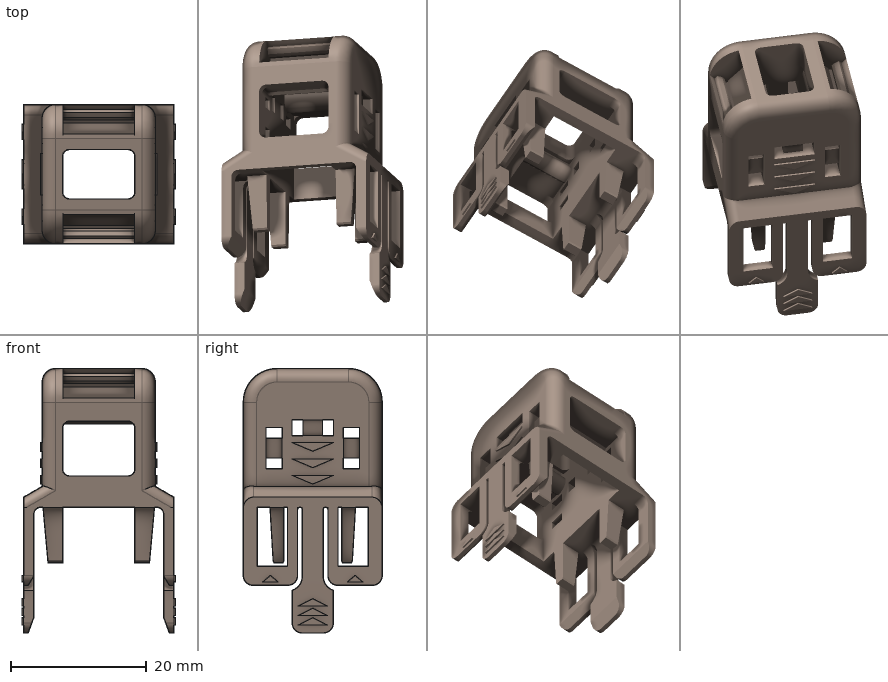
import cadquery as cq
import math

HEIGHT = 39.0
BODY_HALF_X = 8.35
BODY_HALF_Y = 10.25
TOP_RADIUS = 5.0
SIDE_FILLET = 2.0
WALL = 1.52
BOTTOM_Z = 18.52

LEG_OUTER_X = 11.08
LEG_INNER_X = LEG_OUTER_X - WALL
LEG_END_Z = 7.02
LEG_CORNER = 1.5
SHOULDER_ANGLE = math.radians(30)
SHOULDER_TOP_Z = 21.6
SHOULDER_FILLET = 1.52
INNER_FILLET = 1.0
LEG_WINDOW_Y = (3.75, 8.15)
LEG_WINDOW_Z = (9.85, BOTTOM_Z)
TIP_THICKNESS = 0.65
LEG_BEVEL_HEIGHT = 1.4

TONGUE_HALF_Y = 1.55
TONGUE_HEAD_HALF_Y = 3.05
TONGUE_GAP = 0.65
SLOT_TOP_RADIUS = 0.3
TONGUE_BEND_RADIUS = 2.15
TONGUE_BEND_Z = 8.35
TONGUE_BEVEL_HEIGHT = 2.3

CAVITY_HALF_X = 5.3
CAVITY_TOP_Z = 31.2
WINDOW_BOTTOM_Z = 23.15
TOP_WINDOW_HALF_Y = 3.63
WINDOW_CORNER = 1.0

SLOT_LENGTH = 6.05
SLOT_WIDTH = 2.35
BRIDGE_LENGTH = 2.92
BRIDGE_RECESS = 1.0
TOP_SLOT_Z = 30.25
END_SLOT_Y = 5.7
END_SLOT_Z = 27.25

PRONG_END_Z = 10.35
PRONG_TOP_X = 8.23
PRONG_END_X = 7.5
PRONG_INNER_Y = 4.25
PRONG_TOP_Y = 6.3
PRONG_END_Y = 5.85
PRONG_BEVEL_WIDTH = 0.15
PRONG_BEVEL_HEIGHT = 0.27

POCKET_HALF = 3.05
POCKET_DEPTH = 1.0
POCKET_CLEARANCE = 1.95
LIP_HALF = 2.45
THROAT_HALF = 2.2
TAPER_END_DEPTH = 1.75
THROAT_DEPTH = 2.25
BAR_FACE_DEPTH = 2.95
BAR_HALF = 2.22
CHORD_MIDDLE_Y = 8.07
CHORD_MIDDLE_Z = 36.8

GAP_INNER_Y = 4.15
GAP_SILL_Z = 32.88
LINTEL_INNER_Y = 5.77
GAP_MOUTH_Z = 34.5
LEDGE_Z = 33.5
LEDGE_BACK_Y = 4.9
NOSE_RADIUS = 1.75
NOSE_Y = 5.4
NOSE_Z = 32.55

ARROW_HEIGHT = 0.255
ARROWS_PER_COLUMN = 3
BODY_ARROWS = dict(half_width=3.05, rise=-1.3, first_z=28.08, pitch=-2.4)
TONGUE_ARROWS = dict(half_width=2.15, rise=1.1, first_z=3.98, pitch=-1.4)
LEG_ARROW = dict(half_width=1.15, rise=0.98, base_z=7.53, y=6.25)

SIDES = (-1, 1)

EDGE_MARGIN = 0.4


def box(x_range, y_range, z_range):
    """Box between the given limits."""
    size = [high - low for low, high in (x_range, y_range, z_range)]
    corner = (x_range[0], y_range[0], z_range[0])
    return cq.Workplane("XY").box(*size, centered=False).translate(corner)


def extrude_x(sketch, low, high):
    """Extrude a YZ wire from x = low to x = high."""
    return sketch.extrude(high - low).translate((low, 0, 0))


def extrude_y(sketch, half_depth):
    """Extrude an XZ wire to both sides of y = 0."""
    return sketch.extrude(half_depth, both=True)


def mirrored_x(shape):
    """The shape and its mirror image across x = 0."""
    return shape.union(shape.mirror("YZ"))


def mirrored_y(shape):
    """The shape and its mirror image across y = 0."""
    return shape.union(shape.mirror("XZ"))


def hood():
    """Block with two rounded top corners and filleted side edges."""
    block = box(
        (-BODY_HALF_X, BODY_HALF_X), (-BODY_HALF_Y, BODY_HALF_Y), (BOTTOM_Z, HEIGHT)
    )
    block = block.edges("|X and >Z").fillet(TOP_RADIUS)
    ends = block.faces("<X or >X").edges("not <Z")
    return ends.fillet(SIDE_FILLET)


def shoulders():
    """Sloped shoulders that join the side walls to the legs."""
    shoulder_drop = (LEG_OUTER_X - BODY_HALF_X) * math.tan(SHOULDER_ANGLE)
    ridge_z = SHOULDER_TOP_Z + BODY_HALF_X * math.tan(SHOULDER_ANGLE)
    outer_z = SHOULDER_TOP_Z - shoulder_drop
    half = (
        cq.Workplane("XZ")
        .moveTo(0, LEG_END_Z)
        .lineTo(LEG_OUTER_X, LEG_END_Z)
        .lineTo(LEG_OUTER_X, outer_z)
        .lineTo(0, ridge_z)
        .close()
    )
    roof = extrude_y(half, BODY_HALF_Y)
    sloped = cq.selectors.BoxSelector(
        (EDGE_MARGIN, -2 * BODY_HALF_Y, outer_z + EDGE_MARGIN),
        (LEG_OUTER_X - EDGE_MARGIN, 2 * BODY_HALF_Y, ridge_z - EDGE_MARGIN),
    )
    roof = roof.edges(sloped).fillet(SHOULDER_FILLET)
    roof = roof.intersect(
        box((CAVITY_HALF_X, LEG_OUTER_X), (-BODY_HALF_Y, BODY_HALF_Y), (BOTTOM_Z, HEIGHT))
    )
    return mirrored_x(roof)


def leg_plates():
    """The two plates beside the tongue of the +X leg."""
    side_half = TONGUE_HALF_Y + TONGUE_GAP
    side_plate = box(
        (LEG_INNER_X, LEG_OUTER_X), (side_half, BODY_HALF_Y), (LEG_END_Z, BOTTOM_Z)
    )
    side_plate = side_plate.edges("|X and <Z").fillet(LEG_CORNER)
    return bevel(mirrored_y(side_plate), LEG_END_Z, LEG_BEVEL_HEIGHT)


def tongue():
    """Spring tongue that widens to a rounded head below the leg plates."""
    bend_y = TONGUE_HALF_Y + TONGUE_BEND_RADIUS
    bend_to_head = bend_y - TONGUE_HEAD_HALF_Y
    head_z = TONGUE_BEND_Z - math.sqrt(TONGUE_BEND_RADIUS**2 - bend_to_head**2)
    end_angle = math.atan2(TONGUE_BEND_Z - head_z, bend_to_head)
    bend_middle = (
        bend_y - TONGUE_BEND_RADIUS * math.cos(end_angle / 2),
        TONGUE_BEND_Z - TONGUE_BEND_RADIUS * math.sin(end_angle / 2),
    )
    half = (
        cq.Workplane("YZ")
        .moveTo(0, BOTTOM_Z)
        .lineTo(TONGUE_HALF_Y, BOTTOM_Z)
        .lineTo(TONGUE_HALF_Y, TONGUE_BEND_Z)
        .threePointArc(bend_middle, (TONGUE_HEAD_HALF_Y, head_z))
        .lineTo(TONGUE_HEAD_HALF_Y, LEG_CORNER)
        .radiusArc((TONGUE_HEAD_HALF_Y - LEG_CORNER, 0), LEG_CORNER)
        .lineTo(0, 0)
        .close()
    )
    plate = mirrored_y(extrude_x(half, LEG_INNER_X, LEG_OUTER_X))
    return bevel(plate, 0, TONGUE_BEVEL_HEIGHT)


def bevel(plate, end_z, height):
    """Slope the inner face of a leg plate towards its lower end."""
    wedge = (
        cq.Workplane("XZ")
        .moveTo(LEG_INNER_X, end_z + height)
        .lineTo(LEG_INNER_X, end_z)
        .lineTo(LEG_OUTER_X - TIP_THICKNESS, end_z)
        .close()
    )
    return plate.cut(extrude_y(wedge, BODY_HALF_Y))


def inner_fillet():
    """Fill the corner between a leg and the underside of the body."""
    low_z = BOTTOM_Z - INNER_FILLET
    corner = (
        cq.Workplane("XZ")
        .moveTo(LEG_INNER_X, BOTTOM_Z)
        .lineTo(LEG_INNER_X, low_z)
        .radiusArc((LEG_INNER_X - INNER_FILLET, BOTTOM_Z), -INNER_FILLET)
        .close()
    )
    return extrude_y(corner, BODY_HALF_Y)


def leg_openings():
    """Windows of the +X leg and the round-topped slots beside its tongue."""
    window = box((CAVITY_HALF_X, LEG_OUTER_X), LEG_WINDOW_Y, LEG_WINDOW_Z)
    slot = box(
        (CAVITY_HALF_X, LEG_OUTER_X),
        (TONGUE_HALF_Y, TONGUE_HALF_Y + TONGUE_GAP),
        (BOTTOM_Z - 2 * INNER_FILLET, BOTTOM_Z),
    )
    slot = slot.edges("|X and >Z").fillet(SLOT_TOP_RADIUS)
    return mirrored_y(window.union(slot))


def prong():
    """Tapered prong under the +X side wall, bevelled at its foot."""
    bevel_z = PRONG_END_Z + PRONG_BEVEL_HEIGHT
    front = (
        cq.Workplane("XZ")
        .moveTo(CAVITY_HALF_X, BOTTOM_Z)
        .lineTo(PRONG_TOP_X, BOTTOM_Z)
        .lineTo(PRONG_END_X, PRONG_END_Z)
        .lineTo(CAVITY_HALF_X, PRONG_END_Z)
        .close()
    )
    side = (
        cq.Workplane("YZ")
        .moveTo(PRONG_INNER_Y, BOTTOM_Z)
        .lineTo(PRONG_TOP_Y, BOTTOM_Z)
        .lineTo(PRONG_END_Y, bevel_z)
        .lineTo(PRONG_END_Y - PRONG_BEVEL_WIDTH, PRONG_END_Z)
        .lineTo(PRONG_INNER_Y + PRONG_BEVEL_WIDTH, PRONG_END_Z)
        .lineTo(PRONG_INNER_Y, bevel_z)
        .close()
    )
    return extrude_y(front, BODY_HALF_Y).intersect(extrude_x(side, 0, PRONG_TOP_X))


def cavity():
    """Inner space together with the front, back and top windows."""
    across = (-CAVITY_HALF_X, CAVITY_HALF_X)
    inner_y = BODY_HALF_Y - WALL
    room = box(across, (-inner_y, inner_y), (BOTTOM_Z, CAVITY_TOP_Z))
    through_y = box(across, (-BODY_HALF_Y, BODY_HALF_Y), (WINDOW_BOTTOM_Z, CAVITY_TOP_Z))
    through_z = box(across, (-TOP_WINDOW_HALF_Y, TOP_WINDOW_HALF_Y), (WINDOW_BOTTOM_Z, HEIGHT))
    through_y = through_y.edges("|Y").fillet(WINDOW_CORNER)
    through_z = through_z.edges("|Z").fillet(WINDOW_CORNER)
    upper_room = box(across, (-TOP_WINDOW_HALF_Y, TOP_WINDOW_HALF_Y), (BOTTOM_Z, GAP_MOUTH_Z))
    return room.union(upper_room).union(through_y).union(through_z)


def chord_point(along, depth):
    """(y, z) of a point given along and below the chord across the +Y top corner."""
    y = CHORD_MIDDLE_Y - (along + depth) / math.sqrt(2)
    z = CHORD_MIDDLE_Z + (along - depth) / math.sqrt(2)
    return y, z


def strap_pocket():
    """Opening through the +Y top corner that leads around the strap bar into the cavity."""
    mouth = [
        (POCKET_HALF, -POCKET_CLEARANCE),
        (POCKET_HALF, POCKET_DEPTH),
        (LIP_HALF, POCKET_DEPTH),
        (THROAT_HALF, TAPER_END_DEPTH),
        (THROAT_HALF, THROAT_DEPTH),
    ]
    upper = [chord_point(along, depth) for along, depth in mouth]
    lower = [chord_point(-along, depth) for along, depth in reversed(mouth)]
    throat_top_z = upper[-1][1]
    throat_bottom_y = lower[0][0]
    passage = [
        (GAP_INNER_Y, throat_top_z),
        (GAP_INNER_Y, GAP_MOUTH_Z),
        (TOP_WINDOW_HALF_Y, GAP_MOUTH_Z),
        (TOP_WINDOW_HALF_Y, CAVITY_TOP_Z),
        (LINTEL_INNER_Y, CAVITY_TOP_Z),
        (LINTEL_INNER_Y, GAP_SILL_Z),
        (throat_bottom_y, GAP_SILL_Z),
    ]
    profile = cq.Workplane("YZ").polyline(upper + passage + lower).close()
    return extrude_x(profile, -CAVITY_HALF_X, CAVITY_HALF_X)


def strap_bar():
    """Bar across the strap pocket: flat towards the outside, round towards the cavity."""
    upper_edge = chord_point(BAR_HALF, BAR_FACE_DEPTH)
    lower_edge = chord_point(-BAR_HALF, BAR_FACE_DEPTH)
    ledge_y = NOSE_Y - math.sqrt(NOSE_RADIUS**2 - (LEDGE_Z - NOSE_Z) ** 2)
    nose_bottom = (NOSE_Y, NOSE_Z - NOSE_RADIUS)
    profile = (
        cq.Workplane("YZ")
        .moveTo(*lower_edge)
        .lineTo(*upper_edge)
        .lineTo(LEDGE_BACK_Y, LEDGE_Z)
        .lineTo(ledge_y, LEDGE_Z)
        .threePointArc((NOSE_Y - NOSE_RADIUS, NOSE_Z), nose_bottom)
        .close()
    )
    return extrude_x(profile, -CAVITY_HALF_X, CAVITY_HALF_X)


def bridged_slot(y, z, length_y, length_z, bridge_y, bridge_z):
    """Slot through the +X side wall, less the recessed bridge that crosses it."""
    across = (CAVITY_HALF_X, BODY_HALF_X)
    slot = box(across, (y - length_y / 2, y + length_y / 2), (z - length_z / 2, z + length_z / 2))
    bridge = box(
        (CAVITY_HALF_X, BODY_HALF_X - BRIDGE_RECESS),
        (y - bridge_y / 2, y + bridge_y / 2),
        (z - bridge_z / 2, z + bridge_z / 2),
    )
    return slot.cut(bridge)


def side_slots():
    """The three bridged slots through the +X side wall."""
    slots = bridged_slot(0, TOP_SLOT_Z, SLOT_LENGTH, SLOT_WIDTH, BRIDGE_LENGTH, SLOT_WIDTH)
    for side in SIDES:
        upright = bridged_slot(
            side * END_SLOT_Y, END_SLOT_Z, SLOT_WIDTH, SLOT_LENGTH, SLOT_WIDTH, BRIDGE_LENGTH
        )
        slots = slots.union(upright)
    return slots


def arrow(face_x, y, base_z, half_width, rise):
    """Raised triangle on a face at x = face_x, pointing up or down by its rise."""
    triangle = (
        cq.Workplane("YZ")
        .polyline([(y - half_width, base_z), (y + half_width, base_z), (y, base_z + rise)])
        .close()
    )
    return extrude_x(triangle, face_x, face_x + ARROW_HEIGHT)


def arrow_column(face_x, half_width, rise, first_z, pitch):
    """Arrows in one column along the middle of a face."""
    column = cq.Workplane()
    for index in range(ARROWS_PER_COLUMN):
        column = column.union(arrow(face_x, 0, first_z + index * pitch, half_width, rise))
    return column


def arrows():
    """All raised arrows on the +X side of the part."""
    marks = arrow_column(BODY_HALF_X, **BODY_ARROWS)
    marks = marks.union(arrow_column(LEG_OUTER_X, **TONGUE_ARROWS))
    return marks.union(mirrored_y(arrow(LEG_OUTER_X, **LEG_ARROW)))


leg_side = (
    leg_plates()
    .union(tongue())
    .union(inner_fillet())
    .cut(leg_openings())
    .union(mirrored_y(prong()))
)
result = (
    hood()
    .union(shoulders())
    .cut(cavity())
    .cut(mirrored_y(strap_pocket()))
    .union(mirrored_y(strap_bar()))
    .cut(mirrored_x(side_slots()))
    .union(mirrored_x(leg_side))
    .union(mirrored_x(arrows()))
)